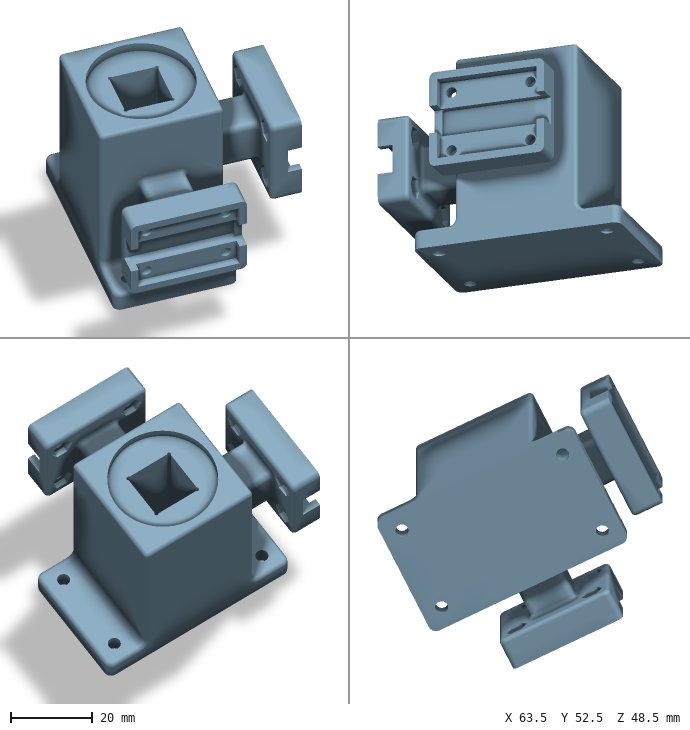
import cadquery as cq

block_side = 32.0
total_height = 48.5
flange = 11.0
base_thickness = 5.0
edge_radius = 1.0
base_corner_radius = 2.0
flange_root_radius = 2.0

base_hole_diameter = 3.2
base_hole_inset = 5.0

recess_diameter = 27.25
recess_depth = 2.55
socket_side = 12.6
socket_floor = base_thickness
relief_diameter = 1.0
relief_inset = 0.25

arm_length = 12.5
arm_side = 12.0
arm_axis_height = 25.0
long_edge_radius = 1.5
head_thickness = 8.0
head_width = 30.05
x_head_height = 22.4
y_head_height = 24.65

rim = 2.0
x_cavity_depth = 2.15
y_cavity_depth = 3.0
notch_height = 7.2
x_notch_depth = 5.15
y_notch_depth = 4.95
notch_step = 1.35
groove_corner_radius = 0.65
bolt_inset = 4.7
bolt_diameter = 2.7
nut_corner_diameter = 6.0
nut_depth = 1.5

half_block = block_side / 2
half_base = half_block + flange
overlap = 0.65


def make_body():
    """Block and base as one profile, rounded everywhere except underneath."""
    profile = [
        (-half_base, 0),
        (half_base, 0),
        (half_base, base_thickness),
        (half_block, base_thickness),
        (half_block, total_height),
        (-half_block, total_height),
        (-half_block, base_thickness),
        (-half_base, base_thickness),
    ]
    body = cq.Workplane("XZ").polyline(profile).close().extrude(half_block, both=True)
    root_zone = cq.selectors.BoxSelector(
        (-half_block - overlap, -block_side, base_thickness - overlap),
        (half_block + overlap, block_side, base_thickness + overlap),
    )
    body = body.edges("|Y").edges(root_zone).fillet(flange_root_radius)
    body = body.faces("<X or >X").edges("|Z").fillet(base_corner_radius)
    outer_edges = body.faces("<Y or >Y or >Z").edges("not <Z")
    return outer_edges.fillet(edge_radius)


def cut_base_holes(body):
    hole_spacing_x = 2 * (half_base - base_hole_inset)
    hole_spacing_y = 2 * (half_block - base_hole_inset)
    holes = (
        cq.Workplane("XY")
        .rect(hole_spacing_x, hole_spacing_y, forConstruction=True)
        .vertices()
        .circle(base_hole_diameter / 2)
        .extrude(total_height)
    )
    return body.cut(holes)


def cut_top_socket(body):
    """Round recess with a blind square socket that has relieved corners."""
    recess = (
        cq.Workplane("XY", origin=(0, 0, total_height - recess_depth))
        .circle(recess_diameter / 2)
        .extrude(recess_depth)
    )
    floor = cq.Workplane("XY", origin=(0, 0, socket_floor))
    socket_depth = total_height - socket_floor
    socket = floor.rect(socket_side, socket_side).extrude(socket_depth)
    relief_spacing = socket_side - 2 * relief_inset
    reliefs = (
        floor.rect(relief_spacing, relief_spacing, forConstruction=True)
        .vertices()
        .circle(relief_diameter / 2)
        .extrude(socket_depth - recess_depth)
    )
    return body.cut(recess).cut(socket).cut(reliefs)


def box(x_start, x_end, y_size, z_size):
    """Box between two X positions, centred on the X axis."""
    plane = cq.Workplane("YZ", origin=(x_start, 0, 0))
    return plane.rect(y_size, z_size).extrude(x_end - x_start)


def make_arm(head_height, cavity_depth, notch_depth):
    """Arm along +X with its axis on the X axis, starting at the block face."""
    head_start = half_block + arm_length
    head_end = head_start + head_thickness

    head = box(head_start, head_end, head_width, head_height)
    head = head.edges("|X").fillet(long_edge_radius)
    head = head.faces("<X").edges().fillet(edge_radius)

    stem = box(half_block - overlap, head_start + overlap, arm_side, arm_side)
    stem = stem.edges("|X").fillet(long_edge_radius)

    cavity_width = head_width - 2 * rim
    cavity = box(head_end - cavity_depth, head_end, cavity_width, head_height - 2 * rim)
    groove = box(head_end - notch_depth, head_end, cavity_width, notch_height)
    groove = groove.edges("|X and >Y").fillet(groove_corner_radius)
    near_notch = box(head_end - notch_depth, head_end, head_width, notch_height)
    near_notch = near_notch.translate((0, -head_width / 2, 0))
    far_notch = box(head_end - notch_depth + notch_step, head_end, head_width, notch_height)
    head = head.cut(cavity).cut(groove).cut(near_notch).cut(far_notch)

    bolt_spacing_y = head_width - 2 * bolt_inset
    bolt_spacing_z = head_height - 2 * bolt_inset
    bolt_pattern = (
        cq.Workplane("YZ", origin=(head_start, 0, 0))
        .rect(bolt_spacing_y, bolt_spacing_z, forConstruction=True)
        .vertices()
    )
    bolts = bolt_pattern.circle(bolt_diameter / 2).extrude(head_thickness)
    nuts = bolt_pattern.polygon(6, nut_corner_diameter).extrude(nut_depth)
    arm = head.cut(bolts).cut(nuts).union(stem)
    return root_edges(arm, head_start).fillet(edge_radius)


def root_edges(part, contact):
    """Edges around the arm section where it touches a face at X = contact."""
    reach = arm_side / 2 + overlap
    zone = cq.selectors.BoxSelector(
        (contact - overlap / 2, -reach, -reach),
        (contact + overlap / 2, reach, reach),
    )
    return part.edges(zone)


def add_x_arm(body, arm):
    """Join an arm to the +X face of the block, rounding the junction."""
    lowered = body.translate((0, 0, -arm_axis_height)).union(arm)
    rounded = root_edges(lowered, half_block).fillet(edge_radius)
    return rounded.translate((0, 0, arm_axis_height))


def swap_x_and_y(part):
    return part.mirror("XZ").rotate((0, 0, 0), (0, 0, 1), 90)


x_arm = make_arm(x_head_height, x_cavity_depth, x_notch_depth)
y_arm = make_arm(y_head_height, y_cavity_depth, y_notch_depth)

result = cut_top_socket(cut_base_holes(make_body()))
result = add_x_arm(result, x_arm)
result = swap_x_and_y(add_x_arm(swap_x_and_y(result), y_arm))